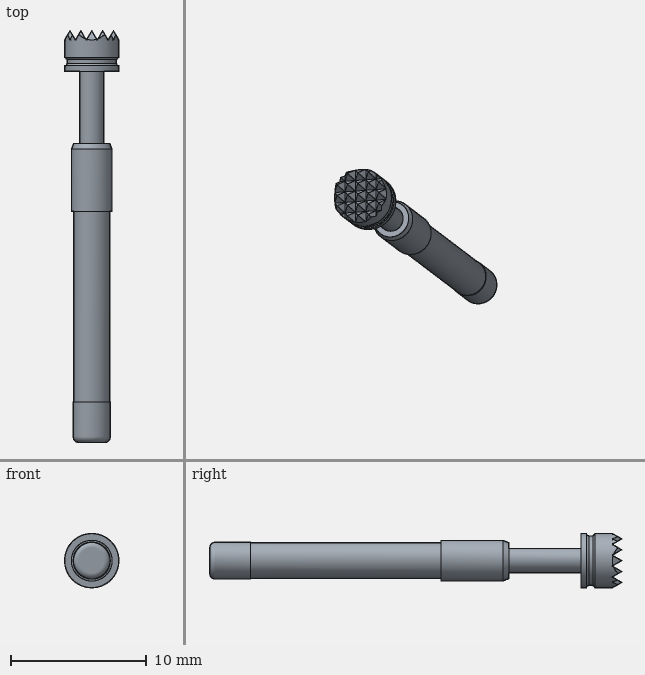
import cadquery as cq
import math

total_length = 30.3
barrel_length = 22.0
barrel_start = total_length - barrel_length

head_radius = 2.0
head_length = 3.0
neck_radius = 1.82
neck_start = 1.96
neck_taper_length = 0.17
flange_taper_rise = 0.08
flange_thickness = 0.42
flange_start = head_length - flange_thickness

tooth_pitch = 0.8
tooth_angle = 60.0
tooth_depth = tooth_pitch / 2 / math.tan(math.radians(tooth_angle / 2))
grooves_per_side = 3

shaft_radius = 0.9

barrel_radius = 1.33
collar_length = 5.0
collar_radius = 1.5
collar_lead_length = 0.42
collar_lead_radius = 1.33
tail_length = 3.0
tail_radius = 1.365
tail_fillet = 0.42


def make_turned_body():
    """Revolve the stepped half-profile of the whole pin about the Y axis."""
    collar_end = barrel_start + collar_length
    tail_start = total_length - tail_length
    profile = (
        cq.Workplane("XY")
        .lineTo(head_radius, 0)
        .lineTo(head_radius, -neck_start)
        .lineTo(neck_radius, -(neck_start + neck_taper_length))
        .lineTo(neck_radius, -(flange_start - neck_taper_length))
        .lineTo(neck_radius + flange_taper_rise, -flange_start)
        .lineTo(head_radius, -flange_start)
        .lineTo(head_radius, -head_length)
        .lineTo(shaft_radius, -head_length)
        .lineTo(shaft_radius, -barrel_start)
        .lineTo(collar_lead_radius, -barrel_start)
        .lineTo(collar_radius, -(barrel_start + collar_lead_length))
        .lineTo(collar_radius, -collar_end)
        .lineTo(barrel_radius, -collar_end)
        .lineTo(barrel_radius, -tail_start)
        .lineTo(tail_radius, -tail_start)
        .lineTo(tail_radius, -(total_length - tail_fillet))
        .radiusArc((tail_radius - tail_fillet, -total_length), tail_fillet)
        .lineTo(0, -total_length)
        .close()
    )
    return profile.revolve(360, (0, 0, 0), (0, 1, 0))


def make_tooth_groove(offset):
    """V-groove along Z whose bottom edge lies at X = offset, open toward +Y."""
    return (
        cq.Workplane("XY")
        .moveTo(offset - tooth_pitch / 2, 0)
        .lineTo(offset, -tooth_depth)
        .lineTo(offset + tooth_pitch / 2, 0)
        .close()
        .extrude(2 * head_radius, both=True)
    )


def cut_teeth(body):
    """Cut two crossing sets of V-grooves, leaving a grid of square pyramids."""
    for index in range(-grooves_per_side, grooves_per_side):
        groove = make_tooth_groove((index + 0.5) * tooth_pitch)
        body = body.cut(groove)
        body = body.cut(groove.rotate((0, 0, 0), (0, 1, 0), 90))
    return body


result = cut_teeth(make_turned_body())